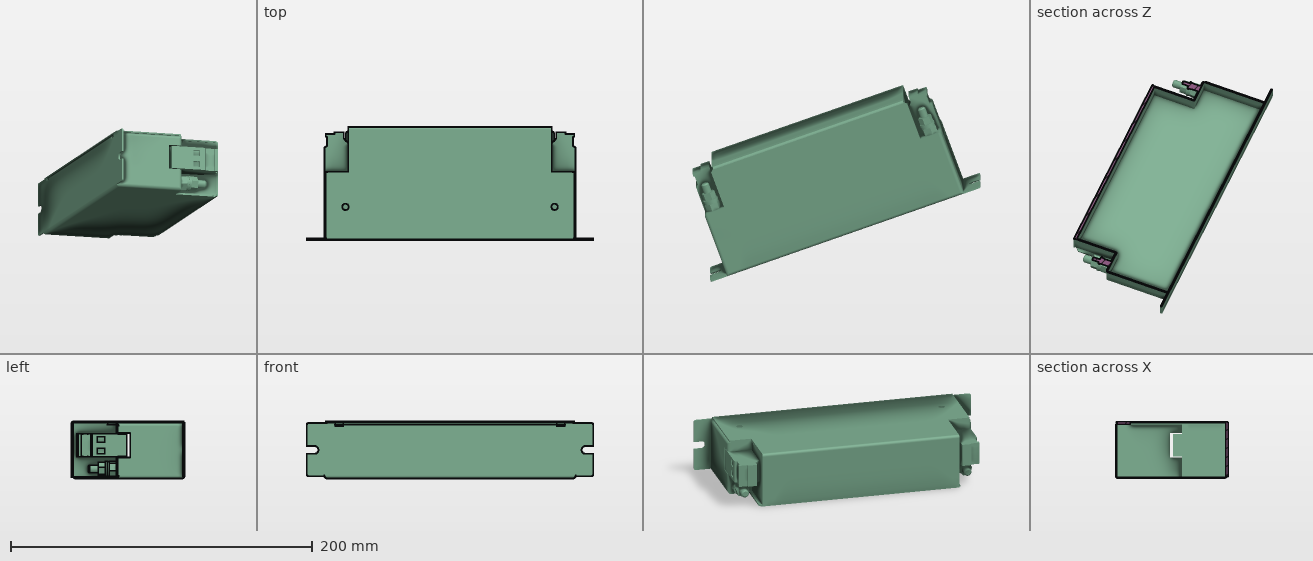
import cadquery as cq

LENGTH = 190.0
DEPTH = 75.1
HEIGHT = 38.0
SHEET = 1.1

TRAY_TOP = HEIGHT - SHEET
TRAY_BACK = DEPTH - SHEET
WIDE_HALF = 83.4
WIDE_DEPTH = 45.3
NARROW_HALF = 67.0
BEND_RADIUS = 2.1
FLANGE_UNDERSIDE = TRAY_TOP - SHEET
SIDE_FLANGE_WIDTH = 20.0
FRONT_FLANGE_WIDTH = 10.0
FLOOR_LIP = 2.1
FLOOR_LIP_BACK = 72.4
LIP_CORNER = 1.5

EAR_BOTTOM = 1.5
EAR_CORNER_RADIUS = 1.3
SLOT_WIDTH = 5.0
SLOT_DEPTH = 7.7
FRONT_BEND_HALF = 70.6
FRONT_BEND_RADIUS = 2.2
RELIEF_WIDTH = 5.5

COVER_FRONT = 0.5
COVER_HALF = 82.3
COVER_NARROW_HALF = 67.5
COVER_CORNER_RADIUS = 1.0
COVER_BEND_RADIUS = 1.8
COVER_BACK_BOTTOM = 1.0
RIVET_DIAMETER = 4.2
RIVET_X = 69.3
RIVET_Y = 22.0
RIVET_RECESS = 0.3

CORNER_GAP_LENGTH = 5.7

BLOCK_Z = 22.1
BLOCK_HEIGHT = 15.0
BLOCK_FRONT = 38.3
BLOCK_BACK = 71.5
BLOCK_OUTER = 83.3
WAIST_X = 81.6
WAIST_START = 62.4
WAIST_TAPER = 1.2
WAIST_END = 68.4
HEAD_X = 82.4
HEAD_BACK = 70.4
LEDGE_OUTER = 76.6
LEDGE_INNER = 70.3
NOTCH_SHOULDER = 67.4
NOTCH_BOTTOM = 64.3
OPENING_FRONT = 36.1
OPENING_HEIGHT = 16.1
WINDOW_LENGTH = 4.8
WINDOW_HEIGHT = 3.7
WINDOW_DEPTH = 1.5
WINDOW_Y = 55.5
WINDOW_PITCH = 7.5

STUD_X = 76.3
STUD_Z = 6.4
STUD_DIAMETER = 5.2
STUD_TIP = 63.8
STUD_CHAMFER = 0.8
BASE_NUT_END = 49.9
LOCK_WASHER_END = 51.4
LOCK_WASHER_DIAMETER = 9.4
WASHER_END = 52.7
WASHER_DIAMETER = 10.0
NUT_END = 57.4
NUT_ACROSS_CORNERS = 9.2
NUT_TURN = -12.0
BASE_NUT_ACROSS_CORNERS = 10.2
BASE_NUT_TURN = 15.0


def block(x0, x1, y0, y1, z0, z1):
    """Rectangular block between two opposite corners."""
    return cq.Workplane("XY").box(x1 - x0, y1 - y0, z1 - z0, centered=False).translate((x0, y0, z0))


def both_sides(shape):
    """The shape together with its mirror image across the YZ plane."""
    return shape.union(shape.mirror("YZ"))


def tray_outside():
    """Outer form of the tray with its rounded bends and the floor lip along each recess."""
    wide = block(-WIDE_HALF, WIDE_HALF, 0, WIDE_DEPTH, 0, TRAY_TOP)
    wide = wide.edges("|Y or (|Z and >Y) or (|X and <Y and <Z)").fillet(BEND_RADIUS)
    narrow = block(-NARROW_HALF, NARROW_HALF, WIDE_DEPTH / 2, TRAY_BACK, 0, TRAY_TOP)
    narrow = narrow.edges("|X and >Y and <Z").fillet(BEND_RADIUS)
    lip_half = NARROW_HALF + FLOOR_LIP
    lip = block(-lip_half, lip_half, WIDE_DEPTH / 2, FLOOR_LIP_BACK, 0, SHEET)
    lip = lip.edges("|Z and >Y").chamfer(LIP_CORNER)
    return wide.union(narrow).union(lip)


def tray_cavity():
    """Hollow inside of the tray, open at the top between the flanges."""
    wide_inner = WIDE_HALF - SHEET
    narrow_inner = NARROW_HALF - SHEET
    wide = block(-wide_inner, wide_inner, SHEET, WIDE_DEPTH - SHEET, SHEET, FLANGE_UNDERSIDE)
    narrow = block(-narrow_inner, narrow_inner, SHEET, TRAY_BACK - SHEET, SHEET, FLANGE_UNDERSIDE)
    mouth_half = WIDE_HALF - SIDE_FLANGE_WIDTH
    mouth = block(-mouth_half, mouth_half, FRONT_FLANGE_WIDTH, TRAY_BACK - SHEET, SHEET, TRAY_TOP)
    return wide.union(narrow).union(mouth)


def mounting_ears():
    """Slotted ends of the front plate, carried straight up past the side bends of the tray."""
    ear = block(WIDE_HALF, LENGTH / 2, 0, SHEET, EAR_BOTTOM, TRAY_TOP)
    ear = ear.edges("|Y and >X").fillet(EAR_CORNER_RADIUS)
    slot = (
        cq.Workplane("XZ")
        .center(LENGTH / 2, HEIGHT / 2)
        .slot2D(2 * SLOT_DEPTH, SLOT_WIDTH)
        .extrude(-SHEET)
    )
    bridge = block(WIDE_HALF - BEND_RADIUS, WIDE_HALF, 0, SHEET, TRAY_TOP - BEND_RADIUS, TRAY_TOP)
    return both_sides(ear.cut(slot).union(bridge))


def front_bend_waste():
    """Material outside the bend from the front plate to the top flange, and the bend reliefs."""
    radius = FRONT_BEND_RADIUS
    bend_start = TRAY_TOP - radius
    waste = block(-FRONT_BEND_HALF, FRONT_BEND_HALF, 0, radius, bend_start, TRAY_TOP)
    roll = (
        cq.Workplane("YZ")
        .center(radius, bend_start)
        .circle(radius)
        .extrude(FRONT_BEND_HALF, both=True)
    )
    relief = block(FRONT_BEND_HALF, FRONT_BEND_HALF + RELIEF_WIDTH, 0, SHEET, bend_start, TRAY_TOP)
    return waste.cut(roll).union(both_sides(relief))


def cover():
    """Flat top sheet with the back wall, marked by a shallow recess over each rivet."""
    wide = block(-COVER_HALF, COVER_HALF, COVER_FRONT, WIDE_DEPTH, TRAY_TOP, HEIGHT)
    wide = wide.edges("|Z and >Y").fillet(COVER_CORNER_RADIUS)
    half = COVER_NARROW_HALF
    narrow = block(-half, half, WIDE_DEPTH / 2, DEPTH, COVER_BACK_BOTTOM, HEIGHT)
    narrow = narrow.edges("|X and >Y and >Z").fillet(COVER_BEND_RADIUS)
    under = block(-half, half, 0, TRAY_BACK, 0, TRAY_TOP)
    rivet_marks = (
        cq.Workplane("XY", origin=(0, 0, HEIGHT - RIVET_RECESS))
        .pushPoints([(-RIVET_X, RIVET_Y), (RIVET_X, RIVET_Y)])
        .circle(RIVET_DIAMETER / 2)
        .extrude(RIVET_RECESS)
    )
    return wide.union(narrow.cut(under)).cut(rivet_marks)


def wall_openings():
    """Openings for the terminal blocks and the small gaps under the cover."""
    half = OPENING_HEIGHT / 2
    opening = block(NARROW_HALF, WIDE_HALF, OPENING_FRONT, WIDE_DEPTH, BLOCK_Z - half, BLOCK_Z + half)
    gap = block(
        NARROW_HALF - SHEET, NARROW_HALF,
        WIDE_DEPTH, WIDE_DEPTH + CORNER_GAP_LENGTH,
        FLANGE_UNDERSIDE, TRAY_TOP,
    )
    return both_sides(opening.union(gap))


def terminal_block():
    """Plug-in terminal block with a waisted side, a raised end ledge and a notch next to the wall."""
    root = NARROW_HALF - SHEET
    outline = [
        (root, BLOCK_FRONT),
        (BLOCK_OUTER, BLOCK_FRONT),
        (BLOCK_OUTER, WAIST_START - WAIST_TAPER),
        (WAIST_X, WAIST_START),
        (WAIST_X, WAIST_END),
        (HEAD_X, WAIST_END),
        (HEAD_X, HEAD_BACK),
        (LEDGE_OUTER, HEAD_BACK),
        (LEDGE_OUTER, BLOCK_BACK),
        (LEDGE_INNER, BLOCK_BACK),
        (LEDGE_INNER, NOTCH_SHOULDER),
        (COVER_NARROW_HALF, NOTCH_BOTTOM),
        (root, NOTCH_BOTTOM),
    ]
    body = (
        cq.Workplane("XY", origin=(0, 0, BLOCK_Z - BLOCK_HEIGHT / 2))
        .polyline(outline)
        .close()
        .extrude(BLOCK_HEIGHT)
    )
    for side in (-1, 1):
        window_z = BLOCK_Z + side * WINDOW_PITCH / 2
        window = block(
            BLOCK_OUTER - WINDOW_DEPTH, BLOCK_OUTER,
            WINDOW_Y - WINDOW_LENGTH / 2, WINDOW_Y + WINDOW_LENGTH / 2,
            window_z - WINDOW_HEIGHT / 2, window_z + WINDOW_HEIGHT / 2,
        )
        body = body.cut(window)
    return body


def earth_stud():
    """Threaded stud along Y with a base nut, lock washer, washer and clamping nut."""

    def axis_plane(y):
        return cq.Workplane("XZ", origin=(STUD_X, y, STUD_Z))

    def disc(diameter, y0, y1):
        return axis_plane(y0).circle(diameter / 2).extrude(y0 - y1)

    def hexagon(across_corners, y0, y1, turn):
        nut = axis_plane(y0).polygon(6, across_corners).extrude(y0 - y1)
        return nut.rotate((STUD_X, 0, STUD_Z), (STUD_X, 1, STUD_Z), turn)

    inside = WIDE_DEPTH - SHEET
    stud = disc(STUD_DIAMETER, inside, STUD_TIP).faces(">Y").chamfer(STUD_CHAMFER)
    stud = stud.union(hexagon(BASE_NUT_ACROSS_CORNERS, inside, BASE_NUT_END, BASE_NUT_TURN))
    stud = stud.union(disc(LOCK_WASHER_DIAMETER, BASE_NUT_END, LOCK_WASHER_END))
    stud = stud.union(disc(WASHER_DIAMETER, LOCK_WASHER_END, WASHER_END))
    return stud.union(hexagon(NUT_ACROSS_CORNERS, WASHER_END, NUT_END, NUT_TURN))


tray = tray_outside().union(mounting_ears()).cut(tray_cavity()).cut(front_bend_waste())
enclosure = tray.cut(wall_openings()).union(cover())
fittings = terminal_block().union(earth_stud())
result = enclosure.union(both_sides(fittings))